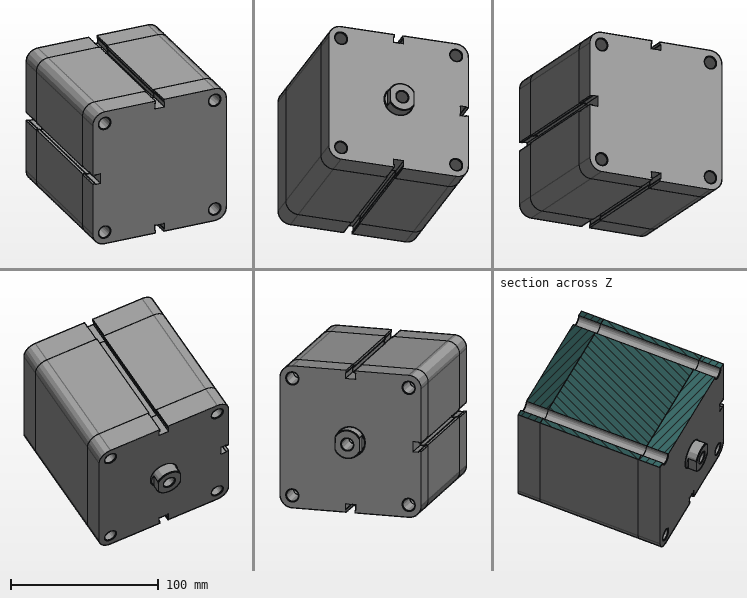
import cadquery as cq
import math


TOTAL_LENGTH = 114.5
WIDTH = 100.0
CORNER_RADIUS = 8.8
CAP_LENGTH = 16.5
ROD_PROJECTION = 7.7
HOUSING_LENGTH = TOTAL_LENGTH - ROD_PROJECTION
TUBE_LENGTH = HOUSING_LENGTH - 2 * CAP_LENGTH

EDGE_CHAMFER = 0.5

SLOT_DEPTH = 5.8
CAP_MOUTH_WIDTH = 6.2
CAP_POCKET_WIDTH = 7.2
CAP_LIP_HEIGHT = 2.0
TUBE_SLOT_INSET = 0.5
TUBE_MOUTH_WIDTH = CAP_MOUTH_WIDTH - 2 * TUBE_SLOT_INSET
TUBE_POCKET_WIDTH = CAP_POCKET_WIDTH - 2 * TUBE_SLOT_INSET
TUBE_LIP_HEIGHT = CAP_LIP_HEIGHT + TUBE_SLOT_INSET
SLOT_ANGLES = (0, 90, 180)

SCREW_HOLE_DIAMETER = 8.4
SCREW_HOLE_SPACING = 82.3

ROD_DIAMETER = 20.0
ROD_LENGTH = ROD_PROJECTION + CAP_LENGTH
FLATS_WIDTH = 17.1
FLAT_LENGTH = 6.3
FLAT_RUNOUT = 0.5
ROD_HOLE_DIAMETER = SCREW_HOLE_DIAMETER
ROD_HOLE_DEPTH = 17.2
DRILL_POINT_ANGLE = 118.0


def t_slot(start_x, length, mouth_width, pocket_width, lip_height):
    """Cutter for one T-slot in the +Z side, running along X."""
    top = WIDTH / 2
    floor = top - SLOT_DEPTH
    lip = top - lip_height
    half_mouth = mouth_width / 2
    half_pocket = pocket_width / 2
    outline = [
        (-half_mouth, top),
        (-half_mouth, lip),
        (-half_pocket, lip),
        (-half_pocket, floor),
        (half_pocket, floor),
        (half_pocket, lip),
        (half_mouth, lip),
        (half_mouth, top),
    ]
    return cq.Workplane("YZ").workplane(offset=start_x).polyline(outline).close().extrude(length)


def housing_block(start_x, length, mouth_width, pocket_width, lip_height):
    """Rounded square block with the T-slots and the four screw holes."""
    block = (
        cq.Workplane("YZ")
        .workplane(offset=start_x)
        .rect(WIDTH, WIDTH)
        .extrude(length)
        .edges("|X")
        .fillet(CORNER_RADIUS)
    )
    slot = t_slot(start_x, length, mouth_width, pocket_width, lip_height)
    for angle in SLOT_ANGLES:
        block = block.cut(slot.rotate((0, 0, 0), (1, 0, 0), angle))
    screw_holes = (
        cq.Workplane("YZ")
        .workplane(offset=start_x)
        .rect(SCREW_HOLE_SPACING, SCREW_HOLE_SPACING, forConstruction=True)
        .vertices()
        .circle(SCREW_HOLE_DIAMETER / 2)
        .extrude(length)
    )
    return block.cut(screw_holes)


def cap(start_x, outer_face):
    """End cap whose screw holes are chamfered at its outer face."""
    block = housing_block(start_x, CAP_LENGTH, CAP_MOUTH_WIDTH, CAP_POCKET_WIDTH, CAP_LIP_HEIGHT)
    smallest_circles = cq.selectors.RadiusNthSelector(0)
    return block.faces(outer_face).edges(smallest_circles).chamfer(EDGE_CHAMFER)


def front_cap():
    """Cap at the rod end, with a through bore for the rod, chamfered at the outer face."""
    bore = cq.Workplane("YZ").circle(ROD_DIAMETER / 2).extrude(CAP_LENGTH)
    largest_circle = cq.selectors.RadiusNthSelector(-1)
    return cap(0, "<X").cut(bore).faces("<X").edges(largest_circle).chamfer(EDGE_CHAMFER)


def tube():
    return housing_block(CAP_LENGTH, TUBE_LENGTH, TUBE_MOUTH_WIDTH, TUBE_POCKET_WIDTH, TUBE_LIP_HEIGHT)


def rear_cap():
    return cap(CAP_LENGTH + TUBE_LENGTH, ">X")


def rod_hole():
    """Cutter for the blind hole in the rod end: chamfered mouth and conical bottom."""
    radius = ROD_HOLE_DIAMETER / 2
    tip = -ROD_PROJECTION
    hole_end = tip + ROD_HOLE_DEPTH
    point_length = radius / math.tan(math.radians(DRILL_POINT_ANGLE / 2))
    half_section = [
        (tip, 0),
        (tip, radius + EDGE_CHAMFER),
        (tip + EDGE_CHAMFER, radius),
        (hole_end, radius),
        (hole_end + point_length, 0),
    ]
    return cq.Workplane("XY").polyline(half_section).close().revolve(360, (0, 0, 0), (1, 0, 0))


def wrench_flat():
    """Cutter for the flat on the +Y side of the rod, with a sloped end."""
    tip = -ROD_PROJECTION
    flat_end = tip + FLAT_LENGTH
    outline = [
        (tip, FLATS_WIDTH / 2),
        (flat_end, FLATS_WIDTH / 2),
        (flat_end + FLAT_RUNOUT, ROD_DIAMETER / 2),
        (tip, ROD_DIAMETER / 2),
    ]
    return cq.Workplane("XY").polyline(outline).close().extrude(ROD_DIAMETER / 2, both=True)


def piston_rod():
    rod = (
        cq.Workplane("YZ")
        .workplane(offset=-ROD_PROJECTION)
        .circle(ROD_DIAMETER / 2)
        .extrude(ROD_LENGTH)
        .faces("<X")
        .edges()
        .chamfer(EDGE_CHAMFER)
    )
    flat = wrench_flat()
    return rod.cut(flat).cut(flat.mirror("XZ")).cut(rod_hole())


result = cq.Compound.makeCompound([
    front_cap().val(),
    tube().val(),
    rear_cap().val(),
    piston_rod().val(),
])